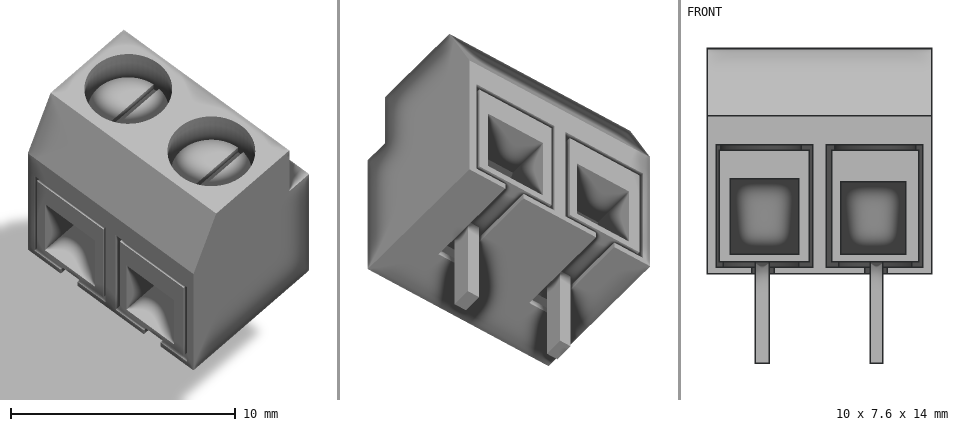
import cadquery as cq
import math

HOUSING_WIDTH = 10.0
HOUSING_DEPTH = 7.6
HOUSING_BOTTOM = 3.98
HOUSING_TOP = 14.0
SHOULDER_DROP = 2.98
SHOULDER_Z = HOUSING_TOP - SHOULDER_DROP
BACK_STEP_DEPTH = 1.3
FRONT_SLOPE_DEPTH = 1.5

CAVITY_WIDTH = 4.3
CAVITY_CENTRE_X = 2.45
CAVITY_DEPTH = 5.0
CAVITY_FLOOR = 4.27
CAVITY_TOP = 9.72
SCREW_HOLE_DIAMETER = 3.9
FLOOR_SLOT_WIDTH = 1.01

CLAMP_BOTTOM = 4.51
CLAMP_TOP = 9.48
CLAMP_DEPTH = 4.76
WIRE_OPENING_BOTTOM = 4.85
WIRE_OPENING_DEPTH = 4.2
WIRE_OPENING_END_TILT = 30.0
SCREW_DIAMETER = 3.6
SCREW_TOP = 12.5
DRIVER_SLOT_WIDTH = 0.34
DRIVER_SLOT_DEPTH = 0.34
PIN_DEPTH = 1.0
PIN_FRONT_Y = 3.01

POLES = [
    dict(
        cavity_x=-CAVITY_CENTRE_X, screw_x=-2.6, screw_y=3.99, floor_slot_x=-2.5,
        clamp_x=-2.45, clamp_width=4.0,
        opening_x=-2.45, opening_width=3.04, opening_top=8.22,
        driver_slot_x=-2.55, pin_x=-2.55, pin_width=0.63,
    ),
    dict(
        cavity_x=CAVITY_CENTRE_X, screw_x=2.48, screw_y=3.92, floor_slot_x=2.5,
        clamp_x=2.48, clamp_width=3.85,
        opening_x=2.4, opening_width=2.88, opening_top=8.08,
        driver_slot_x=2.6, pin_x=2.53, pin_width=0.57,
    ),
]


def block(centre_x, width, front_y, depth, bottom, top):
    """Box centred on centre_x, running back from front_y."""
    return cq.Workplane("XY").box(width, depth, top - bottom, centered=(True, False, False)).translate(
        (centre_x, front_y, bottom)
    )


def upright_cylinder(x, y, diameter, bottom, top):
    return cq.Workplane("XY").center(x, y).circle(diameter / 2).extrude(top - bottom).translate((0, 0, bottom))


def side_extrusion(points, centre_x, width):
    """Extrude a (Y, Z) outline along X, centred on centre_x."""
    return cq.Workplane("YZ").polyline(points).close().extrude(width / 2, both=True).translate((centre_x, 0, 0))


def make_housing():
    profile = [
        (0, HOUSING_BOTTOM),
        (HOUSING_DEPTH, HOUSING_BOTTOM),
        (HOUSING_DEPTH, SHOULDER_Z),
        (HOUSING_DEPTH - BACK_STEP_DEPTH, SHOULDER_Z),
        (HOUSING_DEPTH - BACK_STEP_DEPTH, HOUSING_TOP),
        (FRONT_SLOPE_DEPTH, HOUSING_TOP),
        (0, SHOULDER_Z),
    ]
    housing = side_extrusion(profile, 0, HOUSING_WIDTH)
    for pole in POLES:
        cavity = block(pole["cavity_x"], CAVITY_WIDTH, 0, CAVITY_DEPTH, CAVITY_FLOOR, CAVITY_TOP)
        screw_hole = upright_cylinder(
            pole["screw_x"], pole["screw_y"], SCREW_HOLE_DIAMETER, CAVITY_FLOOR, HOUSING_TOP
        )
        floor_slot = block(
            pole["floor_slot_x"], FLOOR_SLOT_WIDTH, 0, CAVITY_DEPTH, HOUSING_BOTTOM, CAVITY_FLOOR
        )
        housing = housing.cut(cavity).cut(screw_hole).cut(floor_slot)
    return housing


def make_terminal(pole):
    clamp = block(pole["clamp_x"], pole["clamp_width"], 0, CLAMP_DEPTH, CLAMP_BOTTOM, CLAMP_TOP)
    opening_height = pole["opening_top"] - WIRE_OPENING_BOTTOM
    end_wall_lean = opening_height * math.tan(math.radians(WIRE_OPENING_END_TILT))
    opening_profile = [
        (0, WIRE_OPENING_BOTTOM),
        (WIRE_OPENING_DEPTH, WIRE_OPENING_BOTTOM),
        (WIRE_OPENING_DEPTH - end_wall_lean, pole["opening_top"]),
        (0, pole["opening_top"]),
    ]
    wire_opening = side_extrusion(opening_profile, pole["opening_x"], pole["opening_width"])

    screw = upright_cylinder(pole["screw_x"], pole["screw_y"], SCREW_DIAMETER, CLAMP_TOP, SCREW_TOP)
    driver_slot = block(
        pole["driver_slot_x"], DRIVER_SLOT_WIDTH, pole["screw_y"] - SCREW_DIAMETER / 2, SCREW_DIAMETER,
        SCREW_TOP - DRIVER_SLOT_DEPTH, SCREW_TOP,
    )
    pin = block(pole["pin_x"], pole["pin_width"], PIN_FRONT_Y, PIN_DEPTH, 0, CLAMP_BOTTOM)
    return clamp.cut(wire_opening).union(screw.cut(driver_slot)).union(pin)


housing = make_housing()
terminals = [make_terminal(pole) for pole in POLES]
result = cq.Compound.makeCompound([housing.val(), *[terminal.val() for terminal in terminals]])